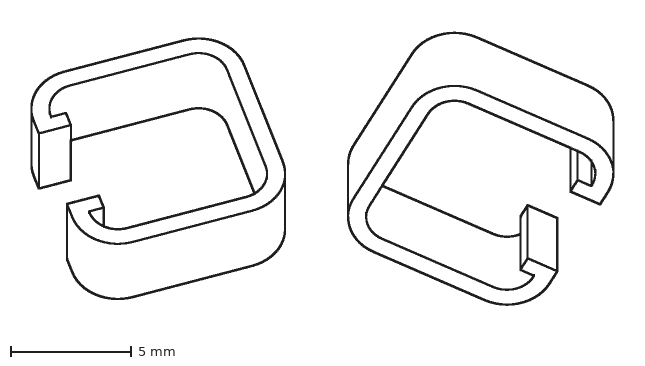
import cadquery as cq

side = 9.2
height = 3.9
wall = 0.75
outer_radius = 2.0
mouth_width = 3.8
lip_thickness = 0.65
lip_depth = 1.4

inner_side = side - 2 * wall
inner_radius = outer_radius - wall
front_y = -side / 2


def rounded_square_prism(width, corner_radius):
    """Square prism, centred in plan, with rounded upright edges."""
    return (
        cq.Workplane("XY")
        .rect(width, width)
        .extrude(height)
        .edges("|Z")
        .fillet(corner_radius)
    )


def front_block(width, depth, center_x):
    """Full-height block reaching inward from the outer front face."""
    return (
        cq.Workplane("XY")
        .center(center_x, front_y + depth / 2)
        .rect(width, depth)
        .extrude(height)
    )


ring = rounded_square_prism(side, outer_radius).cut(rounded_square_prism(inner_side, inner_radius))

result = ring.cut(front_block(mouth_width, wall, 0))

lip_center_x = (mouth_width + lip_thickness) / 2
for direction in (-1, 1):
    result = result.union(front_block(lip_thickness, lip_depth, direction * lip_center_x))